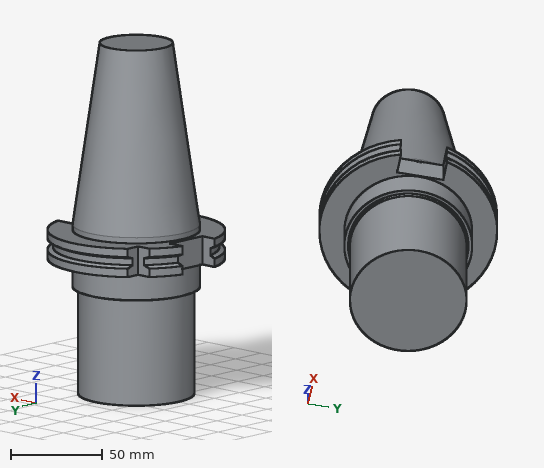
import cadquery as cq


gauge_diameter = 69.85
taper_ratio = 7 / 24
taper_length = 101.75
taper_tip_diameter = gauge_diameter - taper_ratio * taper_length

flange_diameter = 97.5
flange_top_z = -3.2
flange_bottom_z = -19.1

groove_floor_diameter = 91.25
groove_floor_width = 3.75
groove_wall_height = 1.4
groove_center_z = -11.1

collar_diameter = 70.1
collar_bottom_z = -35.0
nose_diameter = 64.0
nose_bottom_z = -95.0
neck_chamfer = 1.0

slot_width = 25.7
slot_floor_left = 37.7
slot_floor_right = 35.5

notch_wall_offset = 30.0

flange_height = flange_top_z - flange_bottom_z


def revolved_body():
    gauge_radius = gauge_diameter / 2
    flange_radius = flange_diameter / 2
    collar_radius = collar_diameter / 2
    nose_radius = nose_diameter / 2
    profile = (
        cq.Workplane("XZ")
        .moveTo(0, taper_length)
        .lineTo(taper_tip_diameter / 2, taper_length)
        .lineTo(gauge_radius, 0)
        .lineTo(gauge_radius, flange_top_z)
        .lineTo(flange_radius, flange_top_z)
        .lineTo(flange_radius, flange_bottom_z)
        .lineTo(collar_radius, flange_bottom_z)
        .lineTo(collar_radius, collar_bottom_z)
        .lineTo(nose_radius + neck_chamfer, collar_bottom_z)
        .lineTo(nose_radius, collar_bottom_z - neck_chamfer)
        .lineTo(nose_radius, nose_bottom_z)
        .lineTo(0, nose_bottom_z)
        .close()
    )
    return profile.revolve(360, (0, 0), (0, 1))


def groove_ring():
    floor_radius = groove_floor_diameter / 2
    rim_radius = flange_diameter / 2
    floor_half = groove_floor_width / 2
    mouth_half = floor_half + groove_wall_height
    section = (
        cq.Workplane("XZ")
        .moveTo(floor_radius, groove_center_z - floor_half)
        .lineTo(rim_radius, groove_center_z - mouth_half)
        .lineTo(rim_radius, groove_center_z + mouth_half)
        .lineTo(floor_radius, groove_center_z + floor_half)
        .close()
    )
    return section.revolve(360, (0, 0), (0, 1))


def flange_cutter(x_near, x_far, y_near, y_far):
    """Box through the full flange height, spanning the given X and Y ranges."""
    return (
        cq.Workplane("XY", origin=(0, 0, flange_bottom_z))
        .moveTo(x_near, y_near)
        .lineTo(x_far, y_near)
        .lineTo(x_far, y_far)
        .lineTo(x_near, y_far)
        .close()
        .extrude(flange_height)
    )


slot_half = slot_width / 2
left_slot = flange_cutter(-slot_floor_left, -flange_diameter, -slot_half, slot_half)
right_slot = flange_cutter(slot_floor_right, flange_diameter, -slot_half, slot_half)
notch = flange_cutter(-notch_wall_offset, -flange_diameter, notch_wall_offset, flange_diameter)

result = revolved_body().cut(groove_ring()).cut(left_slot).cut(right_slot).cut(notch)